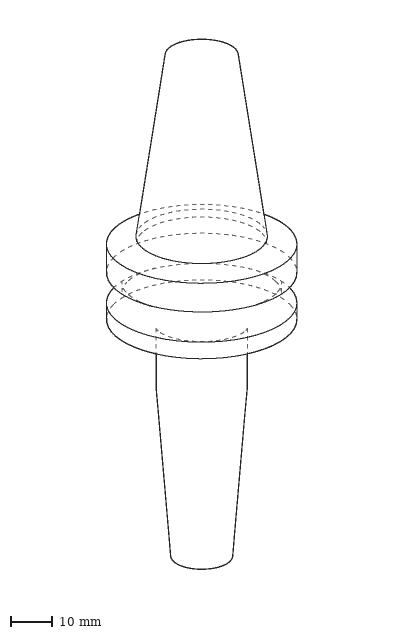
import cadquery as cq
import math


gauge_radius = 31.75 / 2
taper_length = 48.4
taper_slope = 7 / 24 / 2
taper_tip_radius = gauge_radius - taper_slope * taper_length
taper_tip_fillet = 0.5

flange_gap = 2.0
undercut_depth = 0.2
undercut_slope_angle = 15.0
undercut_slope_length = undercut_depth / math.tan(math.radians(undercut_slope_angle))
undercut_floor_width = 1.05
undercut_fillet = 0.6

flange_radius = 23.0
flange_thickness = 20.0
flange_top = -flange_gap
flange_bottom = flange_top - flange_thickness
undercut_floor = flange_top - undercut_depth
groove_center = -13.6
groove_half_width = 4.0
groove_root_radius = 19.25
groove_wall_angle = 60.0
groove_root_fillet = 1.0

projection = 85.0
nose_radius = 11.0
nose_tip_radius = 7.5
nose_cone_angle = 4.5
nose_cone_length = (nose_radius - nose_tip_radius) / math.tan(math.radians(nose_cone_angle))
nose_fillet = 2.5
nose_tip_fillet = 0.5


def revolve_profile(points):
    """Solid of revolution about Z from (radius, height) points."""
    profile = cq.Workplane("XZ").polyline(points).close()
    return profile.revolve(360, (0, 0, 0), (0, 1, 0))


def ring_edges(body, radius, height):
    """Circular edges with the given radius and height."""
    tolerance = 1e-4
    box_low = (-radius - tolerance, -radius - tolerance, height - tolerance)
    box_high = (radius + tolerance, radius + tolerance, height + tolerance)
    rings = body.edges("%CIRCLE").edges(cq.selectors.BoxSelector(box_low, box_high))
    return rings.filter(lambda edge: abs(edge.radius() - radius) < tolerance)


def make_taper_and_flange():
    wall_depth = flange_radius - groove_root_radius
    root_half_width = groove_half_width - wall_depth / math.tan(math.radians(groove_wall_angle))
    neck_radius = gauge_radius - undercut_depth
    floor_radius = neck_radius + undercut_floor_width
    body = revolve_profile([
        (0, taper_length),
        (taper_tip_radius, taper_length),
        (gauge_radius, 0),
        (neck_radius, -undercut_slope_length),
        (neck_radius, undercut_floor),
        (floor_radius, undercut_floor),
        (floor_radius + undercut_slope_length, flange_top),
        (flange_radius, flange_top),
        (flange_radius, groove_center + groove_half_width),
        (groove_root_radius, groove_center + root_half_width),
        (groove_root_radius, groove_center - root_half_width),
        (flange_radius, groove_center - groove_half_width),
        (flange_radius, flange_bottom),
        (0, flange_bottom),
    ])
    body = ring_edges(body, taper_tip_radius, taper_length).fillet(taper_tip_fillet)
    body = ring_edges(body, neck_radius, undercut_floor).fillet(undercut_fillet)
    for side in (1, -1):
        root_height = groove_center + side * root_half_width
        body = ring_edges(body, groove_root_radius, root_height).fillet(groove_root_fillet)
    return body


def make_nose():
    nose = revolve_profile([
        (0, flange_bottom),
        (nose_radius, flange_bottom),
        (nose_radius, nose_cone_length - projection),
        (nose_tip_radius, -projection),
        (0, -projection),
    ])
    return ring_edges(nose, nose_tip_radius, -projection).fillet(nose_tip_fillet)


def make_holder():
    body = make_taper_and_flange().union(make_nose())
    return ring_edges(body, nose_radius, flange_bottom).fillet(nose_fillet)


result = make_holder()